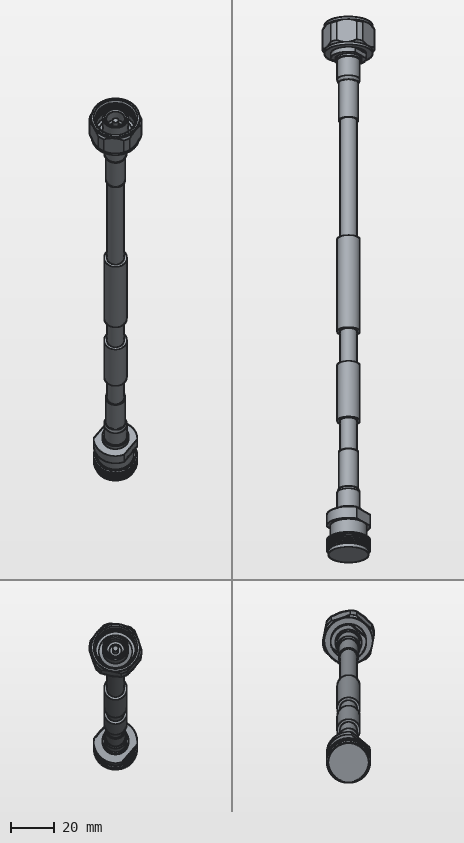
import cadquery as cq
import math


LENGTH = 263.3

CABLE_RADIUS = 4.0
LABEL_RADIUS = 5.3
LABEL_SPANS = [(66.5, 94.3), (111.0, 157.0)]

SLEEVE_RADIUS = 4.5
SLEEVE_LENGTH = 18.7
TAIL_RADIUS = 5.3
TAIL_CHAMFER_RADIUS = 4.6
TAIL_CHAMFER = 1.5
COLLAR_RADIUS = 6.0

THREAD_PITCH = 0.95
THREAD_MAJOR = 10.0
THREAD_MINOR = 9.2
THREAD_RINGS = 6
THREAD_LENGTH = THREAD_RINGS * THREAD_PITCH

THREAD_BOTTOM = 1.8
THREAD_TOP = THREAD_BOTTOM + THREAD_LENGTH
BARREL_RADIUS = 8.5
SOCKET_FLANGE_RADIUS = 10.0
SOCKET_FLAT = 8.5
SOCKET_FLANGE_BOTTOM = 14.2
SOCKET_FLANGE_TOP = 19.7
SOCKET_COLLAR_TOP = 21.9
SOCKET_TAIL_END = 32.5

NUT_FLAT = 11.0
NUT_CORNER_RADIUS = 11.98
NUT_BOTTOM = 249.3
NUT_END_BAND = 1.3
NUT_END_CHAMFER = 1.0
NUT_WALL = 1.8
NUT_INNER_FLOOR = NUT_BOTTOM + NUT_WALL
NUT_THREAD_TOP = LENGTH - 1.0

SHOULDER_TOP = NUT_INNER_FLOOR + 1.5
NECK_RADIUS = 8.2
NECK_FLAT = 6.8
NECK_BOTTOM = 247.0
PLUG_COLLAR_BOTTOM = 246.0
PLUG_TAIL_END = 234.8
NOSE_BASE_RADIUS = 7.6
NOSE_RADIUS = 5.8
NOSE_CONE_TOP = SHOULDER_TOP + 1.0
NOSE_TOP = LENGTH - 0.3
NOSE_CHAMFER = 0.8
NOSE_BORE = 4.2
NOSE_BORE_FLOOR = 256.0
INNER_BORE = 2.76
INNER_BORE_FLOOR = 254.3
PIN_RADIUS = 1.3
PIN_TOP = 261.2


def cylinder(radius, bottom, top):
    return cq.Workplane("XY").workplane(offset=bottom).circle(radius).extrude(top - bottom)


def revolved(points):
    """Solid of revolution about Z from (radius, height) points."""
    return cq.Workplane("XZ").polyline(points).close().revolve(360, (0, 0, 0), (0, 1, 0))


def between_flats(distance, bottom, top):
    """Wide slab whose two X faces are the wrench flats."""
    across_flats = 2 * distance
    return (cq.Workplane("XY").workplane(offset=bottom)
            .rect(across_flats, LENGTH).extrude(top - bottom))


def flatted_flange(radius, flat, bottom, top):
    return cylinder(radius, bottom, top).intersect(between_flats(flat, bottom, top))


def thread_outline(bottom):
    """Zigzag of (radius, height) points up the thread rings, from root to root."""
    points = [(THREAD_MINOR, bottom)]
    for ring in range(THREAD_RINGS):
        root = bottom + ring * THREAD_PITCH
        points.append((THREAD_MAJOR, root + THREAD_PITCH / 2))
        points.append((THREAD_MINOR, root + THREAD_PITCH))
    return points


def crimp_tail(collar_end, tail_end):
    """Tail and hollow crimp sleeve, running from the collar toward the cable."""
    toward_cable = math.copysign(1, tail_end - collar_end)
    sleeve_end = tail_end + toward_cable * SLEEVE_LENGTH
    return revolved([
        (0, collar_end),
        (TAIL_RADIUS, collar_end),
        (TAIL_RADIUS, tail_end - toward_cable * TAIL_CHAMFER),
        (TAIL_CHAMFER_RADIUS, tail_end),
        (SLEEVE_RADIUS, tail_end),
        (SLEEVE_RADIUS, sleeve_end),
        (CABLE_RADIUS, sleeve_end),
        (CABLE_RADIUS, tail_end),
        (0, tail_end),
    ])


def make_socket_connector():
    thread = revolved([(0, 0), (THREAD_MINOR, 0), *thread_outline(THREAD_BOTTOM), (0, THREAD_TOP)])
    barrel = cylinder(BARREL_RADIUS, THREAD_TOP, SOCKET_FLANGE_BOTTOM)
    flange = flatted_flange(SOCKET_FLANGE_RADIUS, SOCKET_FLAT, SOCKET_FLANGE_BOTTOM, SOCKET_FLANGE_TOP)
    collar = cylinder(COLLAR_RADIUS, SOCKET_FLANGE_TOP, SOCKET_COLLAR_TOP)
    tail = crimp_tail(SOCKET_COLLAR_TOP, SOCKET_TAIL_END)
    return thread.union(barrel).union(flange).union(collar).union(tail)


def make_plug_connector():
    shoulder = cylinder(THREAD_MINOR, NUT_INNER_FLOOR, SHOULDER_TOP)
    neck = cylinder(NECK_RADIUS, NUT_BOTTOM, NUT_INNER_FLOOR)
    flange = flatted_flange(NECK_RADIUS, NECK_FLAT, NECK_BOTTOM, NUT_BOTTOM)
    collar = cylinder(COLLAR_RADIUS, PLUG_COLLAR_BOTTOM, NECK_BOTTOM)
    tail = crimp_tail(PLUG_COLLAR_BOTTOM, PLUG_TAIL_END)
    nose = revolved([
        (0, SHOULDER_TOP),
        (NOSE_BASE_RADIUS, SHOULDER_TOP),
        (NOSE_RADIUS, NOSE_CONE_TOP),
        (NOSE_RADIUS, NOSE_TOP),
        (NOSE_BORE + NOSE_CHAMFER, NOSE_TOP),
        (NOSE_BORE, NOSE_TOP - NOSE_CHAMFER),
        (NOSE_BORE, NOSE_BORE_FLOOR),
        (INNER_BORE, NOSE_BORE_FLOOR),
        (INNER_BORE, INNER_BORE_FLOOR),
        (PIN_RADIUS, INNER_BORE_FLOOR),
        (PIN_RADIUS, PIN_TOP),
        (0, PIN_TOP),
    ])
    return shoulder.union(neck).union(flange).union(collar).union(tail).union(nose)


def make_coupling_nut():
    corner_to_corner = 2 * NUT_FLAT / math.cos(math.pi / 6)
    hexagon = (cq.Workplane("XY").workplane(offset=NUT_BOTTOM)
               .transformed(rotate=(0, 0, 90))
               .polygon(6, corner_to_corner).extrude(LENGTH - NUT_BOTTOM))
    envelope = revolved([
        (0, NUT_BOTTOM),
        (NUT_FLAT, NUT_BOTTOM),
        (NUT_FLAT, NUT_BOTTOM + NUT_END_BAND),
        (NUT_CORNER_RADIUS, NUT_BOTTOM + NUT_END_BAND + NUT_END_CHAMFER),
        (NUT_CORNER_RADIUS, LENGTH - NUT_END_BAND - NUT_END_CHAMFER),
        (NUT_FLAT, LENGTH - NUT_END_BAND),
        (NUT_FLAT, LENGTH),
        (0, LENGTH),
    ])
    bore = revolved([
        (0, NUT_BOTTOM),
        (NECK_RADIUS, NUT_BOTTOM),
        (NECK_RADIUS, NUT_INNER_FLOOR),
        (THREAD_MINOR, NUT_INNER_FLOOR),
        *thread_outline(NUT_THREAD_TOP - THREAD_LENGTH),
        (THREAD_MAJOR, LENGTH),
        (0, LENGTH),
    ])
    return hexagon.intersect(envelope).cut(bore)


def make_cable():
    return cylinder(CABLE_RADIUS, SOCKET_TAIL_END, PLUG_TAIL_END)


def make_label(bottom, top):
    return cylinder(LABEL_RADIUS, bottom, top).cut(cylinder(CABLE_RADIUS, bottom, top))


socket_connector = make_socket_connector()
plug_connector = make_plug_connector()
coupling_nut = make_coupling_nut()
cable = make_cable()

labels = []
for label_bottom, label_top in LABEL_SPANS:
    labels.append(make_label(label_bottom, label_top).val())

result = cq.Compound.makeCompound([
    socket_connector.val(),
    plug_connector.val(),
    coupling_nut.val(),
    cable.val(),
    *labels,
])